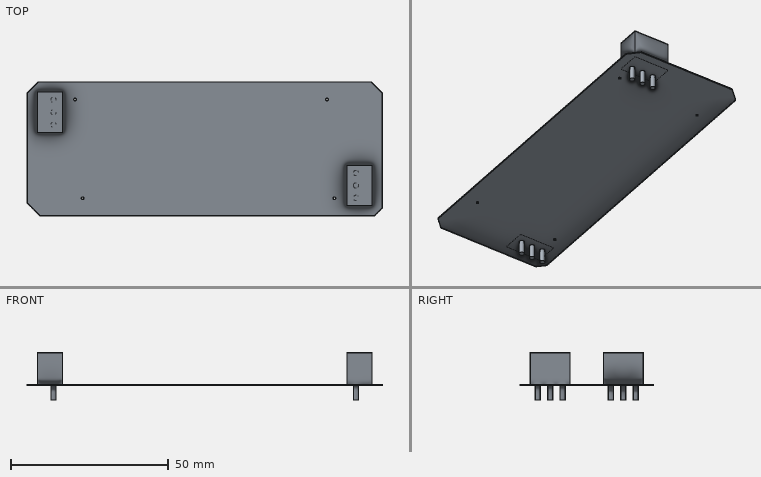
import cadquery as cq

board_length = 112.8
board_width = 42.5
board_thickness = 0.3
chamfer_back_left = 3.5
chamfer_back_right = 3.5
chamfer_front_left = 4.1
chamfer_front_right = 2.5

hole_diameter = 0.77
outer_hole_x = 41.2
inner_hole_x = 38.8
hole_y = 15.7

housing_length = 8.0
housing_width = 12.7
housing_height = 10.2
housing_x = 49.2
housing_y = 11.6

total_height = 15.1
pin_diameter = 1.7
pin_length = total_height - housing_height - board_thickness
pin_pitch = 4.0
pin_inset = 1.1
pin_x = housing_x - pin_inset

connector_sides = (-1, 1)


def make_board():
    """Plate with four unequal corner chamfers and four through holes."""
    board = cq.Workplane("XY").box(
        board_length, board_width, board_thickness, centered=(True, True, False)
    ).translate((0, 0, -board_thickness))
    corner_chamfers = (
        ("<X", ">Y", chamfer_back_left),
        (">X", ">Y", chamfer_back_right),
        ("<X", "<Y", chamfer_front_left),
        (">X", "<Y", chamfer_front_right),
    )
    for x_side, y_side, size in corner_chamfers:
        board = board.faces(x_side).edges("|Z").edges(y_side).chamfer(size)
    hole_places = [
        (-outer_hole_x, hole_y),
        (inner_hole_x, hole_y),
        (-inner_hole_x, -hole_y),
        (outer_hole_x, -hole_y),
    ]
    holes = (
        cq.Workplane("XY")
        .pushPoints(hole_places)
        .circle(hole_diameter / 2)
        .extrude(-board_thickness)
    )
    return board.cut(holes)


def make_housing(side):
    """Plain block standing on the board."""
    return (
        cq.Workplane("XY")
        .center(side * housing_x, -side * housing_y)
        .rect(housing_length, housing_width)
        .extrude(housing_height)
    )


def make_pin(side, row_index):
    """Round pin below the board; row_index is -1, 0 or 1 along the row."""
    pin_y = -side * housing_y + row_index * pin_pitch
    return (
        cq.Workplane("XY", origin=(side * pin_x, pin_y, -board_thickness))
        .circle(pin_diameter / 2)
        .extrude(-pin_length)
    )


board = make_board()
housings = [make_housing(side) for side in connector_sides]
pins = [make_pin(side, row_index) for side in connector_sides for row_index in (-1, 0, 1)]

result = cq.Compound.makeCompound(
    [
        board.val(),
        *[housing.val() for housing in housings],
        *[pin.val() for pin in pins],
    ]
)